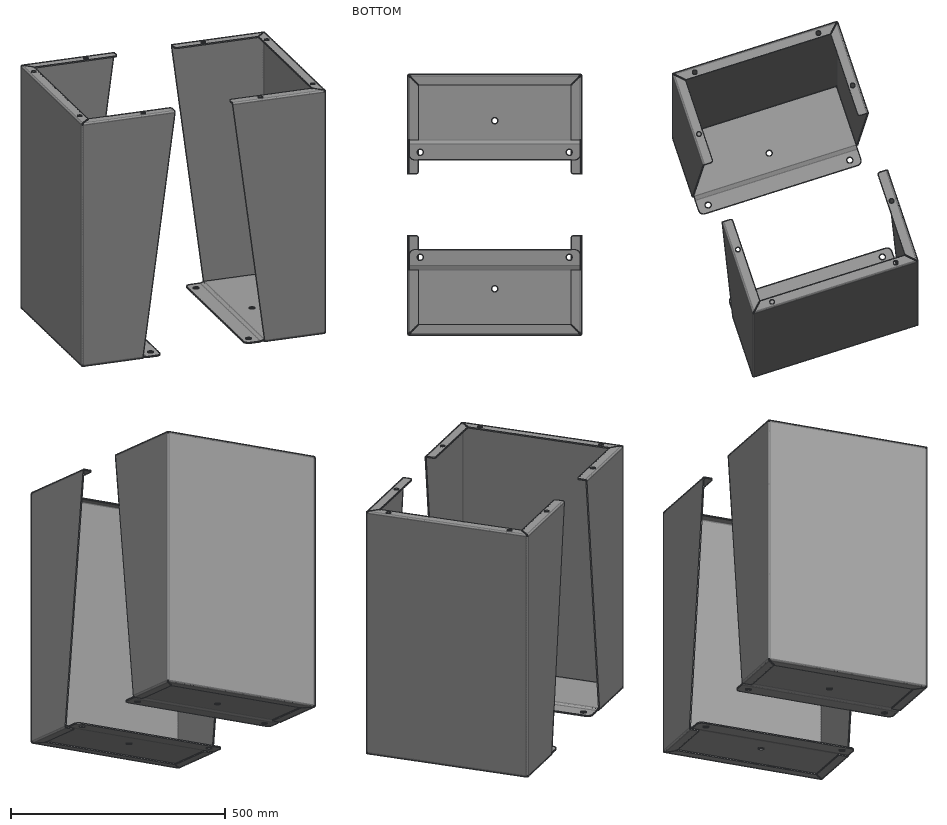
import cadquery as cq
import math

WIDTH = 406.5
LENGTH = 609.5
HEIGHT = 609.5

SHEET = 3.0
BEND_OUTER = 4.0
BEND_INNER = BEND_OUTER - SHEET

FLANGE = 25.0
SIDE_TOP_DEPTH = 233.0
SIDE_BOTTOM_DEPTH = 153.0
MITRE_GAP = 2.0
FLANGE_CORNER_RADIUS = 6.0

FLANGE_HOLE_DIAMETER = 11.0
WALL_HOLE_SPACING = 303.5
WALL_HOLE_DEPTH = 14.0
SIDE_HOLE_INSET = 14.5
SIDE_HOLE_DEPTH = 158.5

PLATE_WIDTH = WIDTH - 2 * BEND_OUTER
PLATE_DEPTH = 200.0
STEP_START = SIDE_BOTTOM_DEPTH
STEP_RUN = 10.0
LIP_CORNER_RADIUS = 12.0
PLATE_HOLE_DIAMETER = 14.0
CENTRE_HOLE_DEPTH = 108.5
LIP_HOLE_SPACING = 348.0
LIP_HOLE_DEPTH = 182.0



def rounded_block(margin, radius):
    """Block inset by margin from the shell envelope, long past the open side, with rounded edges."""
    block = cq.Workplane("XY").box(
        WIDTH - 2 * margin, LENGTH, HEIGHT - 2 * margin, centered=(True, False, False)
    )
    return block.edges("|Y or <Y").fillet(radius).translate((0, margin, margin))


def side_profile():
    """Solid spanning the width with the tapering outline of the side walls."""
    return (
        cq.Workplane("YZ")
        .polyline([
            (0, 0),
            (SIDE_BOTTOM_DEPTH, 0),
            (SIDE_BOTTOM_DEPTH, BEND_OUTER),
            (SIDE_TOP_DEPTH, HEIGHT - BEND_OUTER),
            (SIDE_TOP_DEPTH, HEIGHT),
            (0, HEIGHT),
        ])
        .close()
        .extrude(WIDTH / 2, both=True)
    )


def flange_opening():
    """Prism that leaves a flange of constant width around the top and bottom."""
    return (
        cq.Workplane("XY")
        .box(WIDTH - 2 * FLANGE, LENGTH, HEIGHT, centered=(True, False, False))
        .translate((0, FLANGE, 0))
    )


def flange_end_rounding(side):
    """Material outside the rounded inner corner at the free end of a top flange."""
    size = FLANGE_CORNER_RADIUS
    inner_x = WIDTH / 2 - FLANGE
    corner = cq.Workplane("XY").box(size, size, SHEET, centered=False)
    corner = corner.cut(cq.Workplane("XY").center(size, 0).circle(size).extrude(SHEET))
    corner = corner.translate((inner_x, SIDE_TOP_DEPTH - size, HEIGHT - SHEET))
    return corner if side > 0 else corner.mirror("YZ")


def mitre_slits(side):
    """Slits at 45 degrees that part the outer-wall flanges and bends from those of a side wall."""
    slit = (
        cq.Workplane("XY")
        .box(2 * math.sqrt(2) * FLANGE, MITRE_GAP, BEND_OUTER, centered=(True, True, False))
        .rotate((0, 0, 0), (0, 0, 1), -45 * side)
        .translate((side * WIDTH / 2, 0, 0))
    )
    return slit.union(slit.translate((0, 0, HEIGHT - BEND_OUTER)))


def top_flange_holes():
    """Cutters for the screw holes in the three top flanges."""
    side_x = WIDTH / 2 - SIDE_HOLE_INSET
    wall_x = WALL_HOLE_SPACING / 2
    return (
        cq.Workplane("XY", origin=(0, 0, HEIGHT - SHEET))
        .pushPoints([
            (-wall_x, WALL_HOLE_DEPTH),
            (wall_x, WALL_HOLE_DEPTH),
            (-side_x, SIDE_HOLE_DEPTH),
            (side_x, SIDE_HOLE_DEPTH),
        ])
        .circle(FLANGE_HOLE_DIAMETER / 2)
        .extrude(SHEET)
    )


def make_shell():
    """One folded wall shell."""
    shell = rounded_block(0, BEND_OUTER).cut(rounded_block(SHEET, BEND_INNER))
    shell = shell.intersect(side_profile())
    shell = shell.cut(flange_opening())
    for side in (-1, 1):
        shell = shell.cut(mitre_slits(side))
        shell = shell.cut(flange_end_rounding(side))
    return shell.cut(top_flange_holes())


def make_base_plate():
    """One base plate, raised on the bottom flanges and joggled down to the lip."""
    step_end = STEP_START + STEP_RUN
    plate = (
        cq.Workplane("YZ")
        .polyline([
            (BEND_OUTER, SHEET),
            (STEP_START, SHEET),
            (step_end, 0),
            (PLATE_DEPTH, 0),
            (PLATE_DEPTH, SHEET),
            (step_end, SHEET),
            (STEP_START, 2 * SHEET),
            (BEND_OUTER, 2 * SHEET),
        ])
        .close()
        .extrude(PLATE_WIDTH / 2, both=True)
    )
    plate = plate.edges("|Z and >Y").fillet(LIP_CORNER_RADIUS)
    holes = (
        cq.Workplane("XY")
        .pushPoints([
            (0, CENTRE_HOLE_DEPTH),
            (-LIP_HOLE_SPACING / 2, LIP_HOLE_DEPTH),
            (LIP_HOLE_SPACING / 2, LIP_HOLE_DEPTH),
        ])
        .circle(PLATE_HOLE_DIAMETER / 2)
        .extrude(2 * SHEET)
    )
    return plate.cut(holes)


bodies = []
for make_body in (make_shell, make_base_plate):
    front_body = make_body().translate((0, -LENGTH / 2, 0))
    back_body = front_body.mirror("XZ")
    bodies.extend([*front_body.solids().vals(), *back_body.solids().vals()])

result = cq.Compound.makeCompound(bodies)